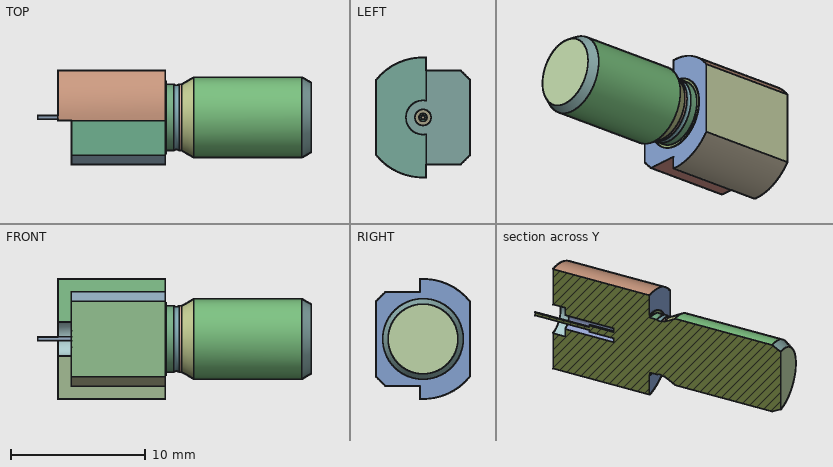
import cadquery as cq
import math

pin_tip_x = -1.5
step_x = 1.0
head_end_x = 8.0
collar_end_x = 8.05
groove_start_x = 8.63
groove_width = 0.38
neck_end_x = 9.22
overall_length = 20.35
barrel_end_x = pin_tip_x + overall_length

jaw_radius = 4.475
half_width = 3.5
jaw_face_y = -0.23
block_chamfer = 0.7

collar_radius = 2.7
neck_radius = 2.48
groove_depth = 0.08
barrel_radius = 3.0
cone_angle = math.radians(30)
end_chamfer_length = 0.7

recess_radius = 1.27
bore_radius = 0.6
bore_depth = 4.0
pin_radius = 0.15
pin_base_radius = 0.3
pin_base_length = 2.0


def cylinder_along_x(radius, start_x, end_x):
    return cq.Workplane("YZ", origin=(start_x, 0, 0)).circle(radius).extrude(end_x - start_x)


def make_jaw():
    """Half-round jaw: a disc cut by the side flat and by the face near the axis."""
    disc = cylinder_along_x(jaw_radius, 0, head_end_x)
    keep = cq.Workplane("XY").box(
        head_end_x, half_width - jaw_face_y, 2 * jaw_radius, centered=(False, False, True)
    )
    return disc.intersect(keep.translate((0, jaw_face_y, 0)))


def make_block():
    """Chamfered rectangular block facing the jaw."""
    block = cq.Workplane("XY").box(
        head_end_x - step_x, half_width + jaw_face_y, 2 * half_width, centered=(False, False, True)
    )
    block = block.translate((step_x, -half_width, 0))
    return block.faces("<Y").edges("|X").chamfer(block_chamfer)


def make_shank():
    """Collar, neck with a round-bottomed groove, cone and chamfered barrel, revolved about X."""
    cone_length = (barrel_radius - neck_radius) / math.tan(cone_angle)
    end_radius = barrel_radius - end_chamfer_length * math.tan(cone_angle)
    groove_bottom = (groove_start_x + groove_width / 2, neck_radius - groove_depth)
    groove_end = (groove_start_x + groove_width, neck_radius)
    profile = (
        cq.Workplane("XY")
        .moveTo(head_end_x, 0)
        .lineTo(head_end_x, collar_radius)
        .lineTo(collar_end_x, collar_radius)
        .lineTo(collar_end_x, neck_radius)
        .lineTo(groove_start_x, neck_radius)
        .threePointArc(groove_bottom, groove_end)
        .lineTo(neck_end_x, neck_radius)
        .lineTo(neck_end_x + cone_length, barrel_radius)
        .lineTo(barrel_end_x - end_chamfer_length, barrel_radius)
        .lineTo(barrel_end_x, end_radius)
        .lineTo(barrel_end_x, 0)
        .close()
    )
    return profile.revolve(360, (0, 0, 0), (1, 0, 0))


def cut_socket(body):
    """Wide recess down to the block face, then a narrow blind bore around the pin."""
    recess = cylinder_along_x(recess_radius, 0, step_x)
    bore = cylinder_along_x(bore_radius, step_x, step_x + bore_depth)
    return body.cut(recess).cut(bore)


def make_pin():
    """Thin contact pin standing on a thicker base at the bottom of the bore."""
    bore_bottom_x = step_x + bore_depth
    base_start_x = bore_bottom_x - pin_base_length
    tip = cylinder_along_x(pin_radius, pin_tip_x, base_start_x)
    base = cylinder_along_x(pin_base_radius, base_start_x, bore_bottom_x)
    return tip.union(base)


body = make_jaw().union(make_block()).union(make_shank())
result = cut_socket(body).union(make_pin())